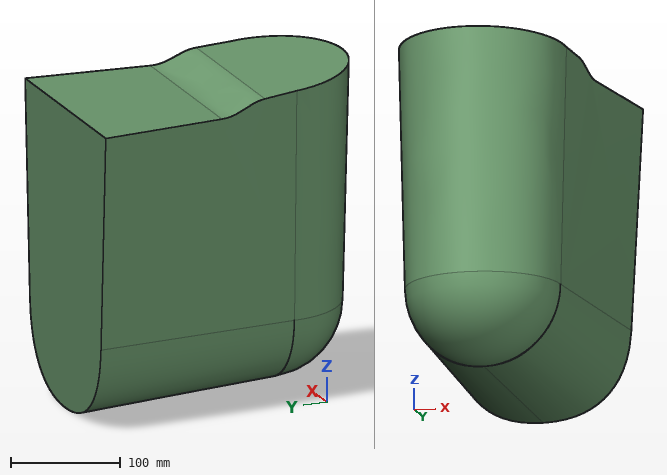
import cadquery as cq
import math

height = 310.0
depth = 274.5
back_width = 189.7
back_height = 288.0

round_z = 81.2
back_round_width = 167.5
back_bulge = (61.5, 22.3)
nose_top_radius = 78.0
nose_radius = 72.5
nose_y = nose_top_radius - depth

step_start_y = -119.7
step_end_y = -163.7
step_end_z = 300.7
nose_slope = (height - step_end_z) / (depth + step_end_y)

stock_height = height + 15.5


def wall_at_stock_top(low, high, high_z):
    """Extend a straight wall from round_z through high_z up to the stock top."""
    return low + (high - low) * (stock_height - round_z) / (high_z - round_z)


def u_section(y, top_half_width, round_half_width, bottom_z, bulge):
    """Half of an upright cross-section: tapered wall, rounded underside, middle plane."""
    wall_direction = (round_half_width - top_half_width, round_z - stock_height)
    return (
        cq.Workplane("XZ", origin=(0, y, 0))
        .moveTo(0, stock_height)
        .lineTo(top_half_width, stock_height)
        .lineTo(round_half_width, round_z)
        .spline(
            [bulge, (0, bottom_z)],
            tangents=[wall_direction, (-1, 0)],
            includeCurrent=True,
        )
        .close()
        .wires()
        .val()
    )


nose_stock_radius = wall_at_stock_top(nose_radius, nose_top_radius, height)
back_stock_half = wall_at_stock_top(back_round_width / 2, back_width / 2, back_height)

diagonal = nose_radius * math.sqrt(0.5)
nose_bulge = (diagonal, round_z - diagonal)
back_section = u_section(0, back_stock_half, back_round_width / 2, 0, back_bulge)
nose_section = u_section(nose_y, nose_stock_radius, nose_radius, round_z - nose_radius, nose_bulge)
half_body = cq.Workplane(cq.Solid.makeLoft([back_section, nose_section], True))
body = half_body.union(half_body.mirror("YZ"))

nose = (
    cq.Workplane("XZ", origin=(0, nose_y, 0))
    .moveTo(0, round_z - nose_radius)
    .radiusArc((-nose_radius, round_z), nose_radius)
    .lineTo(-nose_stock_radius, stock_height)
    .lineTo(0, stock_height)
    .close()
    .revolve(180, (0, 0, 0), (0, 1, 0))
)

top_profile = (
    cq.Workplane("YZ", origin=(-back_width, 0, 0))
    .lineTo(0, back_height)
    .lineTo(step_start_y, back_height)
    .spline(
        [(step_end_y, step_end_z)],
        tangents=[(-1, 0), (-1, nose_slope)],
        includeCurrent=True,
    )
    .lineTo(-depth, height)
    .lineTo(-depth, 0)
    .close()
    .extrude(2 * back_width)
)

result = body.union(nose).intersect(top_profile)